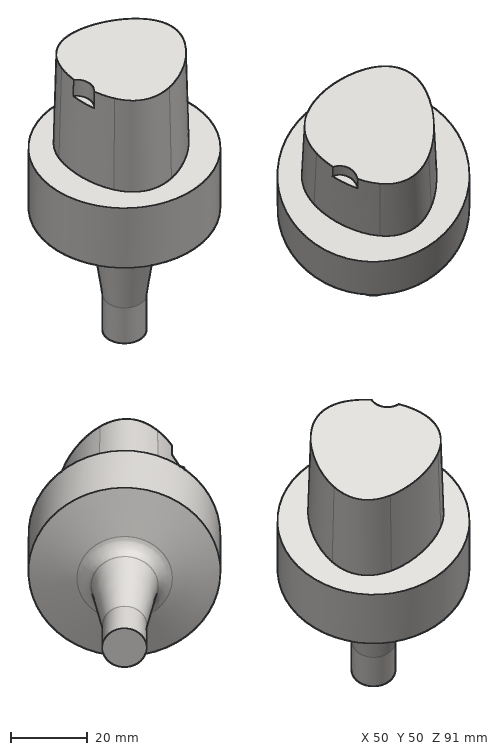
import cadquery as cq
import math

total_height = 91.0
shank_height = 12.0
flange_bottom = 40.95
flange_top = 61.0

shank_radius = 11.6 / 2
flange_radius = 50.0 / 2
neck_root_radius = 9.2
flange_cone_angle = 15.0
neck_fillet = 5.0

head_base_radius = 17.6
head_top_radius = 16.8
lobe_offset = 1.1
face_count = 6
face_sweep = 360 / face_count
first_corner = 30.0

notch_depth = 5.5
notch_radius = 4.7
notch_back_y = -13.8


def turned_body():
    """Shank, conical neck and flange, with a fillet under the flange."""
    cone_drop = (flange_radius - neck_root_radius) * math.tan(math.radians(flange_cone_angle))
    neck_root_height = flange_bottom - cone_drop
    half_profile = (
        cq.Workplane("XZ")
        .moveTo(0, 0)
        .lineTo(shank_radius, 0)
        .lineTo(shank_radius, shank_height)
        .lineTo(neck_root_radius, neck_root_height)
        .lineTo(flange_radius, flange_bottom)
        .lineTo(flange_radius, flange_top)
        .lineTo(0, flange_top)
        .close()
    )
    body = half_profile.revolve(360, (0, 0, 0), (0, 1, 0))
    root_point = (0, 0, neck_root_height)
    return body.edges(cq.selectors.NearestToPointSelector(root_point)).fillet(neck_fillet)


def lobed_point(angle, radius, height):
    """Point on a three-lobed hypotrochoid with one lobe towards +Y."""
    turn = math.radians(angle)
    x = radius * math.sin(turn) - lobe_offset * math.sin(2 * turn)
    y = radius * math.cos(turn) + lobe_offset * math.cos(2 * turn)
    return cq.Vector(x, y, height)


def lobed_wire(radius, height):
    """Closed lobed outline made of one smooth curve per side face."""
    steps = 10
    edges = []
    for face in range(face_count):
        start = first_corner + face * face_sweep
        angles = [start + face_sweep * step / steps for step in range(steps + 1)]
        edges.append(cq.Edge.makeSpline([lobed_point(a, radius, height) for a in angles]))
    return cq.Wire.assembleEdges(edges)


def lobed_head():
    """Straight-sided taper between the base and top outlines."""
    base = lobed_wire(head_base_radius, flange_top)
    top = lobed_wire(head_top_radius, total_height)
    return cq.Workplane(cq.Solid.makeLoft([base, top], True))


def notch():
    """Upright cylinder that cuts the notch down from the top face."""
    return (
        cq.Workplane("XY", origin=(0, notch_back_y - notch_radius, total_height - notch_depth))
        .circle(notch_radius)
        .extrude(notch_depth)
    )


result = turned_body().union(lobed_head()).cut(notch())